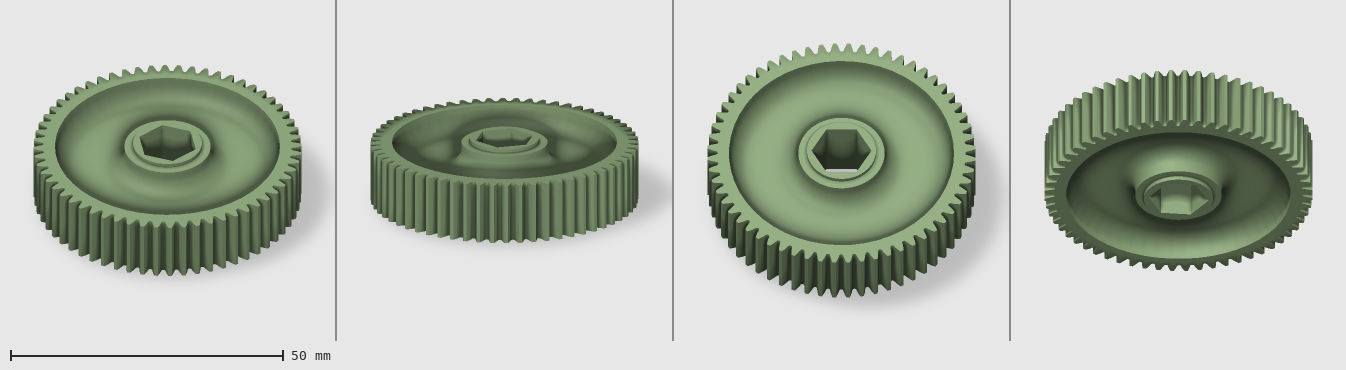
import cadquery as cq
import math

overall_diameter = 49.15
overall_height = 12.7
face_width = 11.1

tooth_count = 60
pressure_angle = math.radians(20)
addendum_factor = 1.0
flank_depth_factor = 1.0
flank_points = 5

rim_inner_radius = 20.65
hub_radius = 7.9
recess_fillet = 3.0
web_thickness = 2.6
boss_radius = 6.35
hex_across_flats = 9.55

pitch_ratio = tooth_count / 2
base_ratio = pitch_ratio * math.cos(pressure_angle)
tip_ratio = pitch_ratio + addendum_factor
flank_start_ratio = pitch_ratio - flank_depth_factor

half_pitch_angle = math.pi / tooth_count
half_tooth_angle = half_pitch_angle / 2


def involute(angle):
    return math.tan(angle) - angle


def local_pressure_angle(ratio):
    """Angle between the flank and the radial direction, at a radius given in modules."""
    return math.acos(base_ratio / ratio)


def flank_angle(ratio):
    """Angle from a tooth's centreline to its flank, at a radius given in modules."""
    return half_tooth_angle + involute(pressure_angle) - involute(local_pressure_angle(ratio))


tip_radius = overall_diameter / 2 / math.cos(half_pitch_angle - flank_angle(tip_ratio))
module = tip_radius / tip_ratio


def polar(radius, angle):
    return (radius * math.cos(angle), radius * math.sin(angle))


def gap_bottom_radius():
    """Lowest radius of the arc that closes a gap, tangent to the flanks on both sides."""
    start_radius = module * flank_start_ratio
    half_gap_angle = half_pitch_angle - flank_angle(flank_start_ratio)
    along, across = polar(start_radius, half_gap_angle)
    flank_slope = local_pressure_angle(flank_start_ratio) + half_gap_angle
    arc_radius = across / math.cos(flank_slope)
    arc_centre = along + across * math.tan(flank_slope)
    return arc_centre - arc_radius


def toothed_disc():
    """Solid disc with all its teeth, centred on the XY plane."""
    ratio_step = (tip_ratio - flank_start_ratio) / (flank_points - 1)
    flank_ratios = [flank_start_ratio + i * ratio_step for i in range(flank_points)]
    start_radius = module * flank_start_ratio
    start_angle = flank_angle(flank_start_ratio)
    bottom_radius = gap_bottom_radius()

    outline = cq.Workplane("XY", origin=(0, 0, -face_width / 2))
    outline = outline.moveTo(*polar(start_radius, half_pitch_angle - start_angle))
    for tooth in range(tooth_count):
        middle = (2 * tooth + 1) * half_pitch_angle
        next_middle = middle + 2 * half_pitch_angle
        rising = [polar(module * r, middle - flank_angle(r)) for r in flank_ratios]
        falling = [polar(module * r, middle + flank_angle(r)) for r in reversed(flank_ratios)]
        gap_middle = polar(bottom_radius, middle + half_pitch_angle)
        gap_end = polar(start_radius, next_middle - start_angle)
        outline = outline.spline(rising[1:], includeCurrent=True)
        outline = outline.threePointArc(polar(tip_radius, middle), falling[0])
        outline = outline.spline(falling[1:], includeCurrent=True)
        outline = outline.threePointArc(gap_middle, gap_end)

    return outline.close().extrude(face_width)


def upper_recess():
    """Ring-shaped pocket in the upper face, rounded where its walls meet the web."""
    floor = web_thickness / 2
    depth = face_width / 2 - floor
    ring = cq.Workplane("XY", origin=(0, 0, floor))
    ring = ring.circle(rim_inner_radius).circle(hub_radius).extrude(depth)
    return ring.faces("<Z").edges().fillet(recess_fillet)


def end_bosses():
    """Round core whose two ends stand proud of the hub."""
    core = cq.Workplane("XY", origin=(0, 0, -overall_height / 2))
    return core.circle(boss_radius).extrude(overall_height)


def hex_bore():
    """Hexagonal through hole with two corners on the X axis."""
    across_corners = hex_across_flats / math.cos(math.pi / 6)
    bore = cq.Workplane("XY", origin=(0, 0, -overall_height / 2))
    return bore.polygon(6, across_corners).extrude(overall_height)


recess = upper_recess()
result = toothed_disc().cut(recess).cut(recess.mirror("XY"))
result = result.union(end_bosses()).cut(hex_bore())